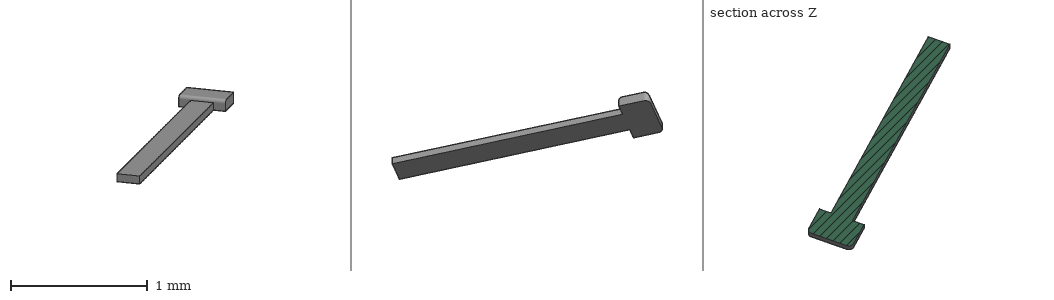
import cadquery as cq

total_length = 2.0
total_height = 0.09

head_width = 0.36
head_length = 0.232
head_bottom = 0.005
front_radius = 0.028
back_radius = 0.04

stem_width = 0.175
stem_top = 0.062

back_y = total_length / 2
tip_y = -total_length / 2
head_front_y = back_y - head_length


def make_blank():
    """Plain block of the head's full size."""
    return (
        cq.Workplane("XY", origin=(0, head_front_y + head_length / 2, head_bottom))
        .box(head_width, head_length, total_height - head_bottom, centered=(True, True, False))
    )


def make_head():
    """Block with rounded top edges front and back, and rounded back corners."""
    rounded_top = make_blank().edges("|X and >Z and >Y").fillet(back_radius)
    rounded_top = rounded_top.edges("|X and >Z and <Y").fillet(front_radius)
    rounded_corners = make_blank().edges("|Z and >Y").fillet(back_radius)
    return rounded_top.intersect(rounded_corners)


def make_stem():
    """Flat bar whose underside drops slightly from the head to the tip."""
    return (
        cq.Workplane("YZ")
        .moveTo(head_front_y, head_bottom)
        .lineTo(head_front_y, stem_top)
        .lineTo(tip_y, stem_top)
        .lineTo(tip_y, 0)
        .close()
        .extrude(stem_width / 2, both=True)
    )


result = make_head().union(make_stem())